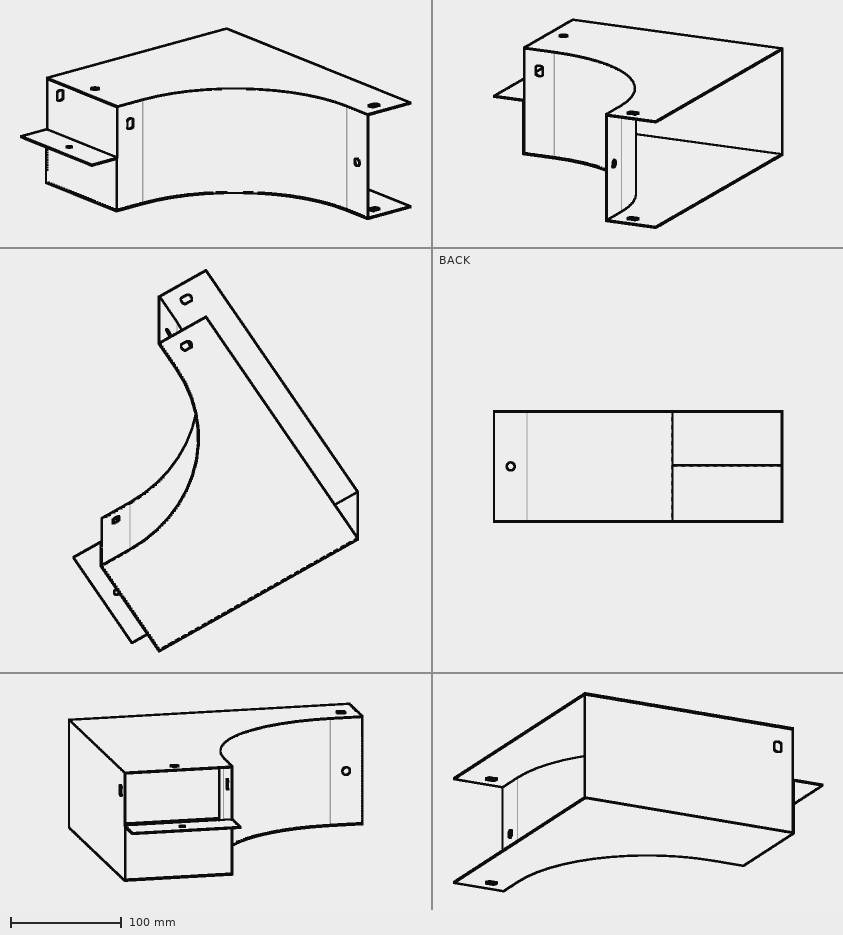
import cadquery as cq

length_x = 260.0
length_y = 240.0
height = 100.0
sheet = 1.0

y_leg_width = height
x_leg_width = y_leg_width / 2
end_straight = 30.0
bend_radius = length_x - end_straight - y_leg_width
tab_length = 30.0
mouth_y = tab_length
inner_wall_y = length_y - x_leg_width

end_margin = 15.0
hole_diameter = 7.0
tab_hole_diameter = 5.0
slot_width = 7.0
slot_length = 10.0
slot_inset = 20.0
hole_y = mouth_y + end_margin
hole_x = length_x - end_margin


def duct_prism(offset, depth):
    """Extrude the duct plan, with its left and inner walls moved inward by offset."""
    wall_x = y_leg_width - offset
    wall_y = inner_wall_y + offset
    center_x = y_leg_width + bend_radius
    center_y = inner_wall_y - bend_radius
    diagonal = (bend_radius + offset) * 0.5**0.5
    return (
        cq.Workplane("XY")
        .moveTo(wall_x, mouth_y)
        .lineTo(wall_x, center_y)
        .threePointArc((center_x - diagonal, center_y + diagonal), (center_x, wall_y))
        .lineTo(length_x, wall_y)
        .lineTo(length_x, length_y)
        .lineTo(offset, length_y)
        .lineTo(offset, mouth_y)
        .close()
        .extrude(depth)
    )


def make_duct():
    """Folded duct, open at the -Y mouth, the +X end and the whole +Y side."""
    outer = duct_prism(0, height)
    cavity = duct_prism(sheet, height - 2 * sheet)
    return outer.cut(cavity.translate((0, 0, sheet)))


def make_end_bracket():
    """Plate over the lower half of the mouth, bent outward into a horizontal tab."""
    tab_top = height / 2 + sheet
    plate = cq.Workplane("XY").box(y_leg_width, sheet, tab_top, centered=False)
    tab = cq.Workplane("XY").box(y_leg_width, tab_length, sheet, centered=False)
    tab = tab.translate((0, 0, height / 2))
    tab_hole = (
        cq.Workplane("XY")
        .center(y_leg_width / 2, tab_length / 2)
        .circle(tab_hole_diameter / 2)
        .extrude(height)
    )
    return plate.translate((0, mouth_y - sheet, 0)).union(tab).cut(tab_hole)


def slot_prism(plane, origin, depth):
    """Slot with two straight sides and ends that are arcs of one circle."""
    base = cq.Workplane(plane, origin=origin)
    disc = base.circle(slot_length / 2).extrude(depth)
    strip = base.rect(slot_width, slot_length).extrude(depth)
    return disc.intersect(strip)


def cut_leg_holes(duct):
    """Cut one round hole and one pair of aligned slots near the end of each leg."""
    top_hole = (
        cq.Workplane("XY", origin=(y_leg_width / 2, hole_y, height / 2))
        .circle(hole_diameter / 2)
        .extrude(height / 2)
    )
    inner_wall_hole = (
        cq.Workplane("XZ", origin=(hole_x, length_y, height / 2))
        .circle(hole_diameter / 2)
        .extrude(length_y)
    )
    side_slots = slot_prism("YZ", (0, hole_y, height - slot_inset), y_leg_width)
    top_and_floor_slots = slot_prism("XY", (hole_x, inner_wall_y + slot_inset, 0), height)
    return duct.cut(top_hole).cut(inner_wall_hole).cut(side_slots).cut(top_and_floor_slots)


result = cut_leg_holes(make_duct()).union(make_end_bracket())